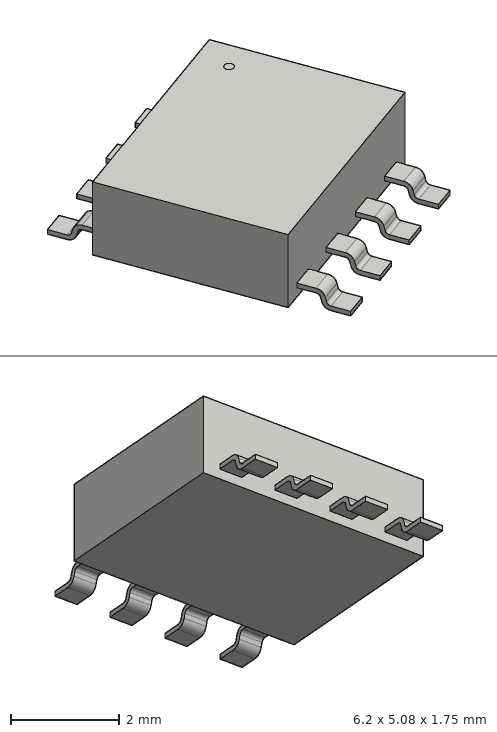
import cadquery as cq
import math

span_x = 6.2
body_x = 4.0
body_y = 5.08
overall_height = 1.75
standoff = 0.1

leads_per_side = 4
lead_pitch = 1.27
lead_width = 0.51
lead_thickness = 0.105
lead_top = 0.415
foot_length = 0.4
bend_inner_radius = 0.09
bend_angle = math.radians(75)

dot_diameter = 0.2
dot_depth = 0.1
dot_from_left = 0.7
dot_from_back = 0.63

body_height = overall_height - standoff
dot_x = -body_x / 2 + dot_from_left
dot_y = body_y / 2 - dot_from_back

bend_outer_radius = bend_inner_radius + lead_thickness
bend_radius_sum = bend_inner_radius + bend_outer_radius
lead_rise = lead_top - lead_thickness
bends_rise = bend_radius_sum * (1 - math.cos(bend_angle))
ramp_length = (lead_rise - bends_rise) / math.sin(bend_angle)
bends_run = bend_radius_sum * math.sin(bend_angle) + ramp_length * math.cos(bend_angle)

toe_x = -span_x / 2
lower_bend_x = toe_x + foot_length
upper_bend_x = lower_bend_x + bends_run


def make_dot():
    """Pin 1 marker: a disc let into the top of the body, flush with it."""
    return (
        cq.Workplane("XY", origin=(dot_x, dot_y, overall_height - dot_depth))
        .circle(dot_diameter / 2)
        .extrude(dot_depth)
    )


def make_body(dot):
    """Plain block with a recess that the dot fills."""
    block = cq.Workplane("XY", origin=(0, 0, standoff)).box(
        body_x, body_y, body_height, centered=(True, True, False)
    )
    return block.cut(dot)


def lower_bend_point(radius):
    """Point (x, z) where the first bend runs into the ramp."""
    centre_z = lead_thickness + bend_inner_radius
    return (
        lower_bend_x + radius * math.sin(bend_angle),
        centre_z - radius * math.cos(bend_angle),
    )


def upper_bend_point(radius):
    """Point (x, z) where the ramp runs into the second bend."""
    centre_z = lead_top - bend_outer_radius
    return (
        upper_bend_x - radius * math.sin(bend_angle),
        centre_z + radius * math.cos(bend_angle),
    )


def make_left_lead(centre_y):
    """Gull-wing lead of the -X row, from its toe to the face of the body."""
    return (
        cq.Workplane("XZ", origin=(0, centre_y + lead_width / 2, 0))
        .moveTo(toe_x, lead_thickness)
        .lineTo(lower_bend_x, lead_thickness)
        .tangentArcPoint(lower_bend_point(bend_inner_radius), relative=False)
        .lineTo(*upper_bend_point(bend_outer_radius))
        .tangentArcPoint((upper_bend_x, lead_top), relative=False)
        .lineTo(-body_x / 2, lead_top)
        .lineTo(-body_x / 2, lead_top - lead_thickness)
        .lineTo(upper_bend_x, lead_top - lead_thickness)
        .tangentArcPoint(upper_bend_point(bend_inner_radius), relative=False)
        .lineTo(*lower_bend_point(bend_outer_radius))
        .tangentArcPoint((lower_bend_x, 0), relative=False)
        .lineTo(toe_x, 0)
        .close()
        .extrude(lead_width)
    )


def make_leads():
    """Both rows of leads; each lead on the +X side mirrors one on the -X side."""
    leads = []
    for index in range(leads_per_side):
        centre_y = (index - (leads_per_side - 1) / 2) * lead_pitch
        left_lead = make_left_lead(centre_y)
        leads.append(left_lead.val())
        leads.append(left_lead.mirror("YZ").val())
    return leads


pin_one_dot = make_dot()
body = make_body(pin_one_dot)
leads = make_leads()

result = cq.Compound.makeCompound([body.val(), pin_one_dot.val(), *leads])